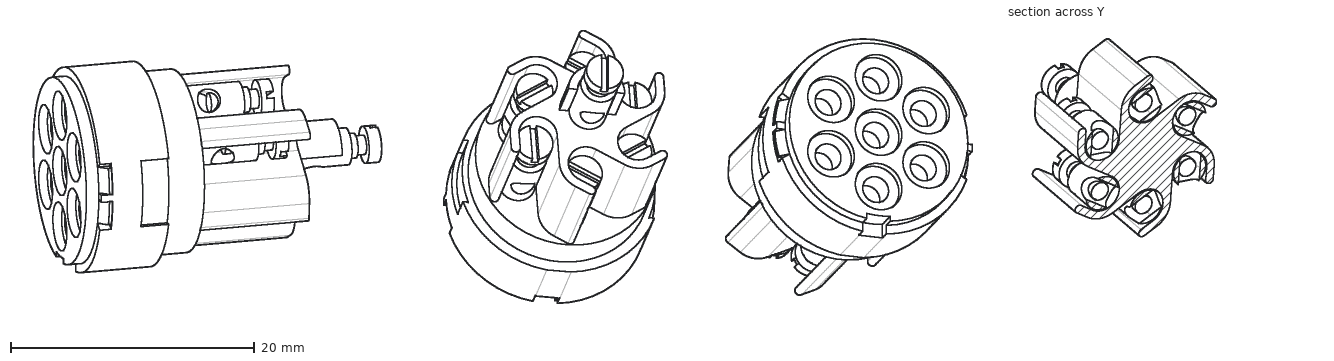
import cadquery as cq
import math


face_radius = 7.75
flange_radius = 8.5
base_radius = 7.59
face_step_y = 1.06
ring_start_y = 4.6
ring_end_y = 6.97
base_end_y = 10.17
relief_radius = 8.085
side_half_height = 2.83
key_width = 2.04
key_floor_radius = 7.32
key_depth = 2.04

slot_end_y = 2.04
slot_land_length = 0.25
slot_ramp_radius = 8.4
slot_floor_half_height = 2.42
slot_rib_half_height = 0.3

contact_count = 6
contact_step = 360 / contact_count
contact_circle_radius = 4.77
pocket_radius = 2.02
pocket_depth = 0.75

contact_radius = 1.54
bore_radius = 1.12
bore_end_y = 3.0
wire_hole_radius = 0.97
wire_hole_y = 12.38
screw_tip_y = 12.77
contact_end_y = 15.4
collar_radius = 1.04
collar_end_y = 16.07
neck_radius = 0.8
neck_end_y = 16.87
head_end_y = 17.95
screw_slot_width = 0.56
screw_slot_depth = 0.62
total_length = 27.15
center_shift = total_length - head_end_y

tower_radius = 2.35
wall_length = 1.3
tower_end_y = 19.5
center_tower_end_y = 23.52
opening_angle = -64.2
flank_angle = contact_step + 90
flank_to_channel = contact_circle_radius * math.cos(math.radians(opening_angle + contact_step / 2))
channel_radius = flank_to_channel - tower_radius
center_opening_angle = -90


def spin(shape, angle):
    """Turn about the Y axis, from +X towards +Z."""
    return shape.rotate((0, 0, 0), (0, 1, 0), -angle)


def plane_at(y):
    """Sketch plane across the axis, with local axes X and Z."""
    return cq.Workplane("XZ", origin=(0, y, 0))


def disc(radius, start_y, end_y):
    return plane_at(start_y).circle(radius).extrude(start_y - end_y)


def block(x_range, y_range, z_range):
    size = [end - start for start, end in (x_range, y_range, z_range)]
    corner = (x_range[0], y_range[0], z_range[0])
    return cq.Workplane("XY").box(*size, centered=False).translate(corner)


def on_contact_circle(shape, index):
    """Place an axis-centred shape that faces +X at an outer contact position."""
    placed = spin(shape, opening_angle).translate((contact_circle_radius, 0, 0))
    return spin(placed, contact_step * (index + 0.5))


def side_relief(side):
    """Recess in the ring on the +X or -X side."""
    band = block(
        (min(0, side * flange_radius), max(0, side * flange_radius)),
        (ring_start_y, ring_end_y),
        (-side_half_height, side_half_height),
    )
    return band.cut(disc(relief_radius, ring_start_y, ring_end_y))


def latch_slot():
    """Upper slot on the -X side: ramped floor, short land behind it and a slanted end."""
    ramp_end_y = slot_end_y - slot_land_length
    slot_ring = (
        cq.Workplane("XY")
        .moveTo(face_radius, face_step_y)
        .lineTo(flange_radius, face_step_y)
        .lineTo(flange_radius, slot_end_y)
        .lineTo(slot_ramp_radius, slot_end_y)
        .lineTo(slot_ramp_radius, ramp_end_y)
        .close()
        .revolve(360, (0, 0, 0), (0, 1, 0))
    )
    window = block(
        (-flange_radius, 0), (face_step_y, slot_end_y), (slot_rib_half_height, slot_floor_half_height)
    )
    floor_x = -math.sqrt(face_radius**2 - slot_floor_half_height**2)
    rim_x = -math.sqrt(flange_radius**2 - side_half_height**2)
    end_wedge = (
        plane_at(face_step_y)
        .moveTo(floor_x, slot_floor_half_height)
        .lineTo(rim_x, side_half_height)
        .lineTo(-flange_radius, side_half_height)
        .lineTo(-flange_radius, slot_floor_half_height)
        .close()
        .extrude(face_step_y - slot_end_y)
    )
    return slot_ring.intersect(window).union(end_wedge)


def key_way():
    """Notch at the bottom of the mating face, continued by a shallow flat along the flange."""
    half_width = key_width / 2
    flat_z = -math.sqrt(flange_radius**2 - half_width**2)
    notch = block((-half_width, half_width), (0, key_depth), (-flange_radius, 0))
    notch = notch.cut(disc(key_floor_radius, 0, key_depth))
    flat = block((-half_width, half_width), (0, ring_end_y), (-flange_radius, flat_z))
    return notch.union(flat)


def housing():
    body = disc(face_radius, 0, face_step_y)
    body = body.union(disc(flange_radius, face_step_y, ring_end_y))
    body = body.union(disc(base_radius, ring_end_y, base_end_y))
    for side in (-1, 1):
        body = body.cut(side_relief(side))
    left_upper = latch_slot()
    left_slots = left_upper.union(left_upper.mirror("XY"))
    body = body.cut(left_slots).cut(left_slots.mirror("YZ"))
    return body.cut(key_way())


def tower_point(index, along, across):
    """Section point given along and across the channel direction of one tower."""
    place_angle = math.radians(contact_step * (index + 0.5))
    channel_angle = place_angle + math.radians(opening_angle)
    x = contact_circle_radius * math.cos(place_angle)
    z = contact_circle_radius * math.sin(place_angle)
    x += along * math.cos(channel_angle) - across * math.sin(channel_angle)
    z += along * math.sin(channel_angle) + across * math.cos(channel_angle)
    return x, z


def back_point(index, angle):
    """Point on the round back of a tower, angle measured from its channel direction."""
    turn = math.radians(angle)
    return tower_point(index, tower_radius * math.cos(turn), tower_radius * math.sin(turn))


def towers():
    """Pinwheel of towers; the flat flank of each one also bounds the next channel."""
    tip_radius = (tower_radius - channel_radius) / 2
    tip_center_across = channel_radius + tip_radius
    outline = plane_at(ring_end_y).moveTo(*tower_point(0, 0, -channel_radius))
    for index in range(contact_count):
        outline = (
            outline.threePointArc(
                tower_point(index, -channel_radius, 0), tower_point(index, 0, channel_radius)
            )
            .lineTo(*tower_point(index, wall_length, channel_radius))
            .threePointArc(
                tower_point(index, wall_length + tip_radius, tip_center_across),
                tower_point(index, wall_length, tower_radius),
            )
            .lineTo(*tower_point(index, 0, tower_radius))
            .threePointArc(back_point(index, (90 + flank_angle) / 2), back_point(index, flank_angle))
        )
        if index < contact_count - 1:
            outline = outline.lineTo(*tower_point(index + 1, 0, -channel_radius))
    return outline.close().extrude(ring_end_y - tower_end_y)


def center_tower():
    """Half shell around the centre contact, open downwards."""
    shell = disc(tower_radius, ring_end_y, center_tower_end_y)
    below = block(
        (-tower_radius, tower_radius), (tower_end_y, center_tower_end_y), (-tower_radius, 0)
    )
    return shell.cut(below).cut(disc(channel_radius, tower_end_y, center_tower_end_y))


def contact(shift):
    """Contact and screw with the wire hole towards +X, moved back by shift."""
    steps = (
        (contact_radius, contact_end_y),
        (collar_radius, collar_end_y),
        (neck_radius, neck_end_y),
        (contact_radius, head_end_y),
    )
    body = cq.Workplane("XY")
    start_y = ring_end_y
    for radius, end_y in steps:
        body = body.union(disc(radius, start_y, end_y + shift))
        start_y = end_y + shift
    head_top = head_end_y + shift
    screw_slot = block(
        (-contact_radius, contact_radius),
        (head_top - screw_slot_depth, head_top),
        (-screw_slot_width / 2, screw_slot_width / 2),
    )
    wire_hole = (
        cq.Workplane("YZ", origin=(0, wire_hole_y + shift, 0))
        .circle(wire_hole_radius)
        .extrude(contact_radius, both=True)
    )
    screw_tip = disc(neck_radius, screw_tip_y + shift, contact_end_y + shift)
    return body.cut(screw_slot).cut(wire_hole).union(screw_tip)


def contact_bore():
    """Face pocket and pin bore with a flat floor."""
    return (
        cq.Workplane("XY")
        .lineTo(pocket_radius, 0)
        .lineTo(pocket_radius, pocket_depth)
        .lineTo(bore_radius, pocket_depth)
        .lineTo(bore_radius, bore_end_y)
        .lineTo(0, bore_end_y)
        .close()
        .revolve(360, (0, 0, 0), (0, 1, 0))
    )


result = housing().union(towers()).union(center_tower())
result = result.union(spin(contact(center_shift), center_opening_angle))
result = result.cut(contact_bore())
for position in range(contact_count):
    result = result.union(on_contact_circle(contact(0), position))
    result = result.cut(on_contact_circle(contact_bore(), position))